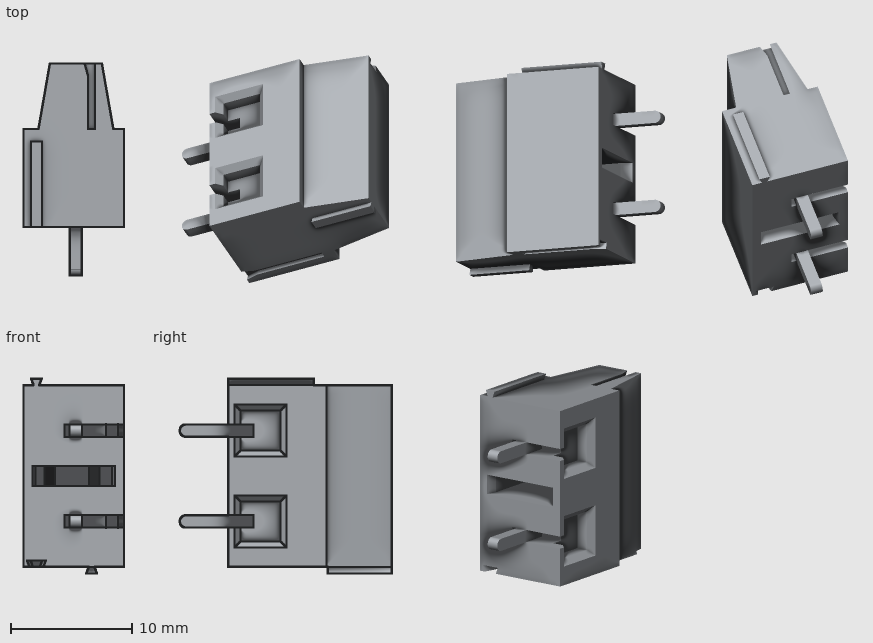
import cadquery as cq


overall_depth = 17.51
body_width = 8.3
body_height = 15.0
body_depth = 13.52
nose_length = 5.41
block_depth = body_depth - nose_length
nose_taper = 0.95
nose_root_left = 1.23
nose_root_right = 7.42
nose_tip_left = nose_root_left + nose_taper
nose_tip_right = nose_root_right - nose_taper

rail_height = 0.55
rail_wide = 0.9
rail_neck = 0.49
block_dovetail_x = 1.07
nose_dovetail_x = 5.62
block_rail_length = 7.1
nose_rail_length = 5.3
groove_clearance = 0.07
groove_depth = 0.55
groove_wide = rail_wide + groove_clearance
groove_neck = rail_neck + groove_clearance
lead_in_length = 1.05
lead_in_flare = 0.3

pin_pitch = 7.5
pin_z_positions = (-pin_pitch / 2, pin_pitch / 2)
pin_left = 3.82
pin_width = 1.0
pin_height = 1.03
pin_length = overall_depth - body_depth
slot_left = 3.38
slot_depth = 2.1

entry_bottom_x = 6.81
entry_funnel = 0.5
entry_funnel_edge_y = 0.53
entry_size = 3.3
entry_mouth = entry_size + 2 * entry_funnel
entry_y = entry_funnel_edge_y + entry_mouth / 2

pocket_height = 1.66
pocket_left = 0.74
pocket_right = 7.56
pocket_flare = 0.25
pocket_flare_depth = 0.95
pocket_shoulder_y = 7.35
pocket_end_y = pocket_shoulder_y + nose_length
pocket_nose_left = 1.72
pocket_nose_right = 6.29
pocket_nose_taper = 0.9


def make_body():
    outline = [
        (0, 0),
        (body_width, 0),
        (body_width, block_depth),
        (nose_root_right, block_depth),
        (nose_tip_right, body_depth),
        (nose_tip_left, body_depth),
        (nose_root_left, block_depth),
        (0, block_depth),
    ]
    return cq.Workplane("XY").polyline(outline).close().extrude(body_height / 2, both=True)


def dovetail_points(x, neck_z, wide_z, neck, wide, flare_left=0, flare_right=0):
    """Trapezoid around x, optionally widened by a flare on either side."""
    return [
        (x - neck / 2 - flare_left, neck_z),
        (x + neck / 2 + flare_right, neck_z),
        (x + wide / 2 + flare_right, wide_z),
        (x - wide / 2 - flare_left, wide_z),
    ]


def make_rail(x, side, y_start, length):
    """Dovetail standing on the top (side = 1) or the bottom (side = -1)."""
    base_z = side * body_height / 2
    points = dovetail_points(x, base_z, base_z + side * rail_height, rail_neck, rail_wide)
    return cq.Workplane("XZ", origin=(0, y_start, 0)).polyline(points).close().extrude(-length)


def make_groove(x, side, y_open, length, flare_left, flare_right):
    """Dovetail groove from its open end at y_open, with a flared lead-in; a negative length runs to -Y."""
    base_z = side * body_height / 2
    deep_z = base_z - side * groove_depth
    straight = dovetail_points(x, base_z, deep_z, groove_neck, groove_wide)
    flared = dovetail_points(x, base_z, deep_z, groove_neck, groove_wide, flare_left, flare_right)
    lead_in = lead_in_length if length > 0 else -lead_in_length
    mouth_plane = cq.Workplane("XZ", origin=(0, y_open, 0))
    channel = mouth_plane.polyline(straight).close().extrude(-length)
    funnel = (
        mouth_plane.polyline(flared).close()
        .workplane(offset=-lead_in).polyline(straight).close()
        .loft(ruled=True)
    )
    return channel.union(funnel)


def make_pocket():
    outline = [
        (pocket_left, 0),
        (pocket_right, 0),
        (pocket_right - pocket_flare, pocket_flare_depth),
        (pocket_right - pocket_flare, pocket_shoulder_y),
        (pocket_nose_right, pocket_shoulder_y),
        (pocket_nose_right - pocket_nose_taper, pocket_end_y),
        (pocket_nose_left + pocket_nose_taper, pocket_end_y),
        (pocket_nose_left, pocket_shoulder_y),
        (pocket_left + pocket_flare, pocket_shoulder_y),
        (pocket_left + pocket_flare, pocket_flare_depth),
    ]
    return cq.Workplane("XY").polyline(outline).close().extrude(pocket_height / 2, both=True)


def make_pin_slot(z):
    size = (body_width - slot_left, slot_depth, pin_height)
    return cq.Workplane("XY").box(*size, centered=(False, False, True)).translate((slot_left, 0, z))


def make_wire_entry(z):
    mouth_plane = cq.Workplane("YZ", origin=(body_width, entry_y, z))
    shaft = mouth_plane.rect(entry_size, entry_size).extrude(entry_bottom_x - body_width)
    funnel = (
        mouth_plane.rect(entry_mouth, entry_mouth)
        .workplane(offset=-entry_funnel).rect(entry_size, entry_size)
        .loft(ruled=True)
    )
    return shaft.union(funnel)


def make_pin(z):
    """Flat pin with a fully rounded tip, rooted in the bottom of its slot."""
    radius = pin_height / 2
    return (
        cq.Workplane("YZ", origin=(pin_left, 0, z))
        .moveTo(slot_depth, radius)
        .lineTo(radius - pin_length, radius)
        .threePointArc((-pin_length, 0), (radius - pin_length, -radius))
        .lineTo(slot_depth, -radius)
        .close()
        .extrude(pin_width)
    )


result = make_body()
result = result.union(make_rail(block_dovetail_x, 1, 0, block_rail_length))
result = result.union(make_rail(nose_dovetail_x, -1, body_depth - nose_rail_length, nose_rail_length))
result = result.cut(make_groove(block_dovetail_x, -1, 0, block_rail_length, lead_in_flare, lead_in_flare))
result = result.cut(make_groove(nose_dovetail_x, 1, body_depth, -nose_length, lead_in_flare, 0))
result = result.cut(make_pocket())
for pin_z in pin_z_positions:
    result = result.cut(make_pin_slot(pin_z))
    result = result.cut(make_wire_entry(pin_z))
    result = result.union(make_pin(pin_z))